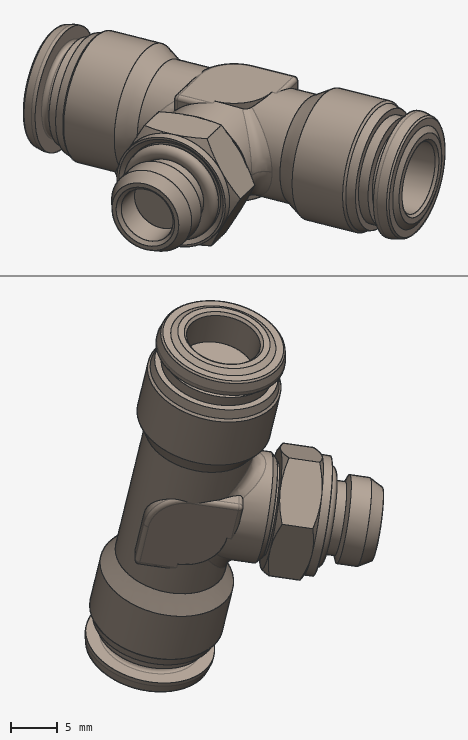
import cadquery as cq
import math

run_length = 44.6
half_run = run_length / 2
collar_radius = 7.25
overall_depth = 28.0
branch_reach = overall_depth - collar_radius

pipe_radius = 6.0
body_cone_start = 8.55
body_cone_end = 10.65
collar_end = 16.7
collar_chamfer = 0.25

cap_large_radius = 7.0
cap_taper = 0.3
cap_step = 17.95
cap_small_radius = 6.0
cap_end = 19.1

sleeve_neck_radius = 5.0
sleeve_neck_fillet = 0.5
flange_start = 20.25
flange_radius = 7.0
flange_cylinder_end = 20.7
flange_small_radius = 6.75
flange_rim_chamfer = 0.2
flange_end = 21.9
lip_base_radius = 5.7
lip_tip_radius = 5.0

socket_radius = 4.0
socket_chamfer = 0.3
socket_depth = 4.0

branch_end = 9.0
branch_chamfer = 0.6
swivel_neck_radius = 5.1

hex_sides = 6
hex_start = 9.25
hex_end = 13.75
hex_across_flats = 13.0
hex_turn = 2.2
hex_chamfer_angle = 30.0

seal_flange_radius = 6.5
seal_flange_end = 14.75
oring_section_radius = 0.8
oring_recess_radius = 6.25
thread_relief_radius = 4.0
thread_radius = 4.8
relief_end = 16.75
thread_start = 17.1
thread_cone_start = 19.3
thread_tip_radius = 4.0

bore_radius = 3.1
bore_chamfer = 0.4
bore_depth = 3.5

pad_radius = 4.5
pad_corner_reach = 5.5
pad_edge_fillet = 0.5
crotch_fillet = 1.6


def turned_about_x(profile):
    """Revolve a closed profile drawn as (x, radius) about the X axis."""
    return profile.close().revolve(360, (0, 0, 0), (1, 0, 0))


def turned_about_y(points):
    """Revolve a closed outline given as (radius, distance towards -Y) about the Y axis."""
    outline = [(radius, -distance) for radius, distance in points]
    return cq.Workplane("XY").polyline(outline).close().revolve(360, (0, 0, 0), (0, 1, 0))


def make_pad():
    """Pad with two round and two square quadrants, filling the full pipe height."""
    mid = pad_radius * math.sqrt(0.5)
    pad = (
        cq.Workplane("XY", origin=(0, 0, -pipe_radius))
        .moveTo(0, pad_radius)
        .lineTo(pad_corner_reach, pad_radius)
        .lineTo(pad_corner_reach, 0)
        .lineTo(pad_radius, 0)
        .threePointArc((mid, -mid), (0, -pad_radius))
        .lineTo(0, -pad_corner_reach)
        .lineTo(-pad_radius, -pad_corner_reach)
        .lineTo(-pad_radius, 0)
        .threePointArc((-mid, mid), (0, pad_radius))
        .close()
        .extrude(2 * pipe_radius)
    )
    square_corners = [
        (pad_corner_reach, pad_radius, 0),
        (-pad_radius, -pad_corner_reach, 0),
    ]
    for corner in square_corners:
        pad = pad.edges(cq.selectors.NearestToPointSelector(corner)).fillet(pad_edge_fillet)
    for side in (-1, 1):
        rim = cq.selectors.NearestToPointSelector((pad_radius / 2, pad_radius, side * pipe_radius))
        pad = pad.edges(rim).fillet(pad_edge_fillet)
    return pad


def make_tee():
    """Crossing pipes with rounded crotches and the flat pad between them."""
    run = cq.Workplane("YZ").circle(pipe_radius).extrude(body_cone_start, both=True)
    branch = turned_about_y([
        (0, 0),
        (pipe_radius, 0),
        (pipe_radius, branch_end - branch_chamfer),
        (pipe_radius - branch_chamfer, branch_end),
        (0, branch_end),
    ])
    core = cq.Workplane("XY").circle(pad_radius - pad_edge_fillet).extrude(pipe_radius, both=True)
    tee = run.union(branch).union(core)
    outer = pipe_radius + branch_chamfer
    for side in (-1, 1):
        crotch = cq.selectors.BoxSelector(
            (side * pad_radius, -pad_radius, -pipe_radius),
            (side * outer, -outer, pipe_radius),
        )
        tee = tee.edges(crotch).edges("%ELLIPSE").fillet(crotch_fillet)
    return tee.union(make_pad())


def make_run_end():
    """Collar, end cap and release sleeve of the +X end."""
    profile = (
        cq.Workplane("XY")
        .moveTo(body_cone_start, 0)
        .lineTo(body_cone_start, pipe_radius)
        .lineTo(body_cone_end, collar_radius)
        .lineTo(collar_end, collar_radius)
        .lineTo(collar_end + collar_chamfer, cap_large_radius)
        .lineTo(cap_step, cap_large_radius - cap_taper)
        .lineTo(cap_step, cap_small_radius)
        .lineTo(cap_end, cap_small_radius)
        .lineTo(cap_end, sleeve_neck_radius)
        .lineTo(flange_start - sleeve_neck_fillet, sleeve_neck_radius)
        .radiusArc((flange_start, sleeve_neck_radius + sleeve_neck_fillet), -sleeve_neck_fillet)
        .lineTo(flange_start, flange_radius)
        .lineTo(flange_cylinder_end, flange_radius)
        .lineTo(flange_end - flange_rim_chamfer, flange_small_radius)
        .lineTo(flange_end, flange_small_radius - flange_rim_chamfer)
        .lineTo(flange_end, lip_base_radius)
        .lineTo(half_run, lip_tip_radius)
        .lineTo(half_run, 0)
    )
    return turned_about_x(profile)


def make_socket():
    """Chamfered tube socket of the +X end."""
    profile = (
        cq.Workplane("XY")
        .moveTo(half_run, 0)
        .lineTo(half_run, socket_radius + socket_chamfer)
        .lineTo(half_run - socket_chamfer, socket_radius)
        .lineTo(half_run - socket_depth, socket_radius)
        .lineTo(half_run - socket_depth, 0)
    )
    return turned_about_x(profile)


def make_hex():
    """Hexagon with both faces chamfered at its corners."""
    across_corners = hex_across_flats / math.cos(math.pi / hex_sides)
    corner_radius = across_corners / 2
    face_radius = hex_across_flats / 2
    drop = (corner_radius - face_radius) * math.tan(math.radians(hex_chamfer_angle))
    prism = (
        cq.Workplane("XZ", origin=(0, -hex_start, 0))
        .transformed(rotate=(0, 0, hex_turn))
        .polygon(hex_sides, across_corners)
        .extrude(hex_end - hex_start)
    )
    envelope = turned_about_y([
        (0, hex_start),
        (face_radius, hex_start),
        (corner_radius, hex_start + drop),
        (corner_radius, hex_end - drop),
        (face_radius, hex_end),
        (0, hex_end),
    ])
    return prism.intersect(envelope)


def make_male_end():
    """Swivel neck, hexagon, sealing flange, O-ring and plain thread."""
    oring_centre_radius = thread_relief_radius + oring_section_radius
    oring_outer_radius = oring_centre_radius + oring_section_radius
    recess_floor = seal_flange_end - (oring_recess_radius - oring_outer_radius)
    turned = turned_about_y([
        (0, 0),
        (swivel_neck_radius, 0),
        (swivel_neck_radius, hex_end),
        (seal_flange_radius, hex_end),
        (seal_flange_radius, seal_flange_end),
        (oring_recess_radius, seal_flange_end),
        (oring_outer_radius, recess_floor),
        (thread_relief_radius, recess_floor),
        (thread_relief_radius, relief_end),
        (thread_radius, thread_start),
        (thread_radius, thread_cone_start),
        (thread_tip_radius, branch_reach),
        (0, branch_reach),
    ])
    oring_back = seal_flange_end - oring_section_radius
    oring = (
        cq.Workplane("XY")
        .moveTo(thread_relief_radius, -seal_flange_end)
        .threePointArc((oring_outer_radius, -seal_flange_end), (oring_centre_radius, -oring_back))
        .lineTo(thread_relief_radius, -oring_back)
        .close()
        .revolve(360, (0, 0, 0), (0, 1, 0))
    )
    return turned.union(make_hex()).union(oring)


def make_bore():
    """Chamfered blind bore of the threaded end."""
    return turned_about_y([
        (0, branch_reach),
        (bore_radius + bore_chamfer, branch_reach),
        (bore_radius, branch_reach - bore_chamfer),
        (bore_radius, branch_reach - bore_depth),
        (0, branch_reach - bore_depth),
    ])


run_end = make_run_end()
socket = make_socket()
result = make_tee().union(make_male_end())
result = result.union(run_end).union(run_end.mirror("YZ"))
result = result.cut(socket).cut(socket.mirror("YZ")).cut(make_bore())